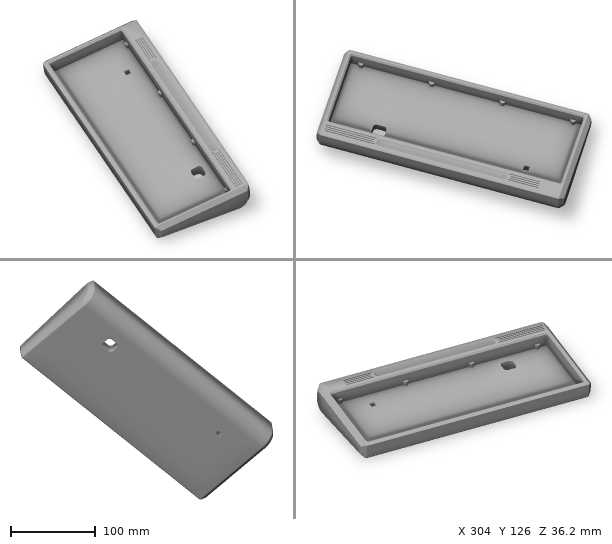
import cadquery as cq
import math

LENGTH = 304.0
DEPTH = 126.0
HEIGHT = 36.2
TILT = 7.0
BACK_RADIUS = 18.0
END_CHAMFER = 5.2
BOTTOM_FILLET = 2.0

FRONT_BEVEL_WIDTH = 3.3
FRONT_BEVEL_DROP = 1.5
BACK_BEVEL_WIDTH = 1.5
BACK_BEVEL_DROP = 1.0

POCKET_LENGTH = 286.0
POCKET_FRONT = 6.7
POCKET_BACK = 102.8
POCKET_DEPTH = 19.0
POCKET_CORNER_RADIUS = 1.8
RIM_CHAMFER = 1.8

POST_RADIUS = 3.3
POST_HEIGHT = 6.0
POST_PITCH = 87.0
POST_COUNT = 4
FRONT_POST_Y = POCKET_FRONT
BACK_POST_Y = POCKET_BACK + 0.5

SQUARE_HOLE_SIZE = 6.5
SQUARE_HOLE_CENTER = (-95.8, 86.0)
PORT_LENGTH = 16.5
PORT_WIDTH = 14.5
PORT_CORNER_RADIUS = 4.3
PORT_CENTER = (84.8, 88.5)

TRIM_Y = 113.7
TROUGH_LENGTH = 161.0
TROUGH_WIDTH = 9.5
TROUGH_RADIUS = 13.0 / 2
GROOVE_PITCH = 2.7
GROOVE_WIDTH = 1.2
GROOVE_DEPTH = 1.2
OUTER_GROOVE_START = 81.5
INNER_GROOVE_START = 84.2
RIGHT_GROOVE_END = 143.5
LEFT_GROOVE_END = 119.2

SIN = math.sin(math.radians(TILT))
COS = math.cos(math.radians(TILT))
SLOPE = SIN / COS

ARC_Y = DEPTH - BACK_RADIUS
ARC_TOP = (ARC_Y + BACK_RADIUS * COS, BACK_RADIUS * (1 + SIN))
ARC_MIDDLE_ANGLE = math.radians((TILT - 90) / 2)
ARC_MIDDLE = (
    ARC_Y + BACK_RADIUS * math.cos(ARC_MIDDLE_ANGLE),
    BACK_RADIUS * (1 + math.sin(ARC_MIDDLE_ANGLE)),
)
BACK_TOP_Z = HEIGHT + BACK_BEVEL_WIDTH * SIN
BACK_TOP_Y = ARC_TOP[0] - (BACK_TOP_Z - ARC_TOP[1]) * SLOPE
FRONT_TOP_Y = -FRONT_BEVEL_DROP * SIN
FRONT_TOP_Z = BACK_TOP_Z - (BACK_TOP_Y - FRONT_TOP_Y) * SLOPE
DECK_DEPTH = (BACK_TOP_Y - FRONT_TOP_Y) / COS

DECK = cq.Plane(origin=(0, FRONT_TOP_Y, FRONT_TOP_Z), xDir=(1, 0, 0), normal=(0, -SIN, COS))


def body():
    outline = (
        cq.Workplane("YZ", origin=(-LENGTH / 2, 0, 0))
        .moveTo(FRONT_TOP_Y, FRONT_TOP_Z)
        .lineTo(BACK_TOP_Y, BACK_TOP_Z)
        .lineTo(*ARC_TOP)
        .threePointArc(ARC_MIDDLE, (ARC_Y, 0))
        .lineTo(FRONT_TOP_Y + FRONT_TOP_Z * SLOPE, 0)
        .close()
    )
    chamfered = outline.extrude(LENGTH).faces("<X or >X").chamfer(END_CHAMFER)
    return chamfered.faces("<Z").edges().fillet(BOTTOM_FILLET)


def edge_bevel(edge_y, width, drop):
    """Wedge along a top edge; a negative width reaches toward the front."""
    profile = cq.Plane(origin=DECK.origin, xDir=DECK.yDir, normal=DECK.xDir)
    wedge = cq.Workplane(profile).polyline([(edge_y, 0), (edge_y + width, 0), (edge_y, -drop)]).close()
    return wedge.extrude(LENGTH / 2, both=True)


def pocket():
    middle_y = (POCKET_FRONT + POCKET_BACK) / 2
    span = POCKET_BACK - POCKET_FRONT
    well = (
        cq.Workplane(DECK)
        .center(0, middle_y)
        .sketch()
        .rect(POCKET_LENGTH, span)
        .vertices()
        .fillet(POCKET_CORNER_RADIUS)
        .finalize()
    )
    rim = (
        cq.Workplane(DECK)
        .center(0, middle_y)
        .sketch()
        .rect(POCKET_LENGTH + 2 * RIM_CHAMFER, span + 2 * RIM_CHAMFER)
        .vertices()
        .fillet(POCKET_CORNER_RADIUS + RIM_CHAMFER)
        .finalize()
    )
    return well.extrude(-POCKET_DEPTH).union(rim.extrude(-RIM_CHAMFER, taper=45))


def posts():
    floor = cq.Workplane(DECK).workplane(offset=-POCKET_DEPTH)
    first_x = -POST_PITCH * (POST_COUNT - 1) / 2
    places = [
        (first_x + i * POST_PITCH, y)
        for i in range(POST_COUNT)
        for y in (FRONT_POST_Y, BACK_POST_Y)
    ]
    return floor.pushPoints(places).circle(POST_RADIUS).extrude(POST_HEIGHT)


def floor_openings():
    square = (
        cq.Workplane("XY")
        .center(*SQUARE_HOLE_CENTER)
        .rect(SQUARE_HOLE_SIZE, SQUARE_HOLE_SIZE)
        .extrude(HEIGHT)
    )
    port = (
        cq.Workplane("XY")
        .center(*PORT_CENTER)
        .rect(PORT_LENGTH, PORT_WIDTH)
        .extrude(HEIGHT)
        .edges("|Z")
        .fillet(PORT_CORNER_RADIUS)
    )
    return square.union(port)


def trough():
    """Round bar with ball ends whose axis lies above the deck."""
    axis_height = math.sqrt(TROUGH_RADIUS**2 - (TROUGH_WIDTH / 2) ** 2)
    half_straight = (TROUGH_LENGTH - TROUGH_WIDTH) / 2
    middle = DECK.toWorldCoords((0, TRIM_Y, axis_height))
    bar = cq.Workplane("YZ", origin=middle).circle(TROUGH_RADIUS).extrude(half_straight, both=True)
    for x in (-half_straight, half_straight):
        ball_center = DECK.toWorldCoords((x, TRIM_Y, axis_height))
        bar = bar.union(cq.Workplane("XY", origin=ball_center).sphere(TROUGH_RADIUS))
    return bar


def groove(start_x, end_x, y):
    center = ((start_x + end_x) / 2, y)
    outline = cq.Workplane(DECK).center(*center).rect(abs(end_x - start_x), GROOVE_WIDTH)
    return outline.extrude(-GROOVE_DEPTH)


result = body()
result = result.cut(edge_bevel(0, FRONT_BEVEL_WIDTH, FRONT_BEVEL_DROP))
result = result.cut(edge_bevel(DECK_DEPTH, -BACK_BEVEL_WIDTH, BACK_BEVEL_DROP))
result = result.cut(pocket())
result = result.union(posts())
result = result.cut(floor_openings())
result = result.cut(trough())

groove_starts = (OUTER_GROOVE_START, INNER_GROOVE_START, INNER_GROOVE_START, OUTER_GROOVE_START)
for row, start in enumerate(groove_starts):
    groove_y = TRIM_Y + (row - (len(groove_starts) - 1) / 2) * GROOVE_PITCH
    result = result.cut(groove(start, RIGHT_GROOVE_END, groove_y))
    result = result.cut(groove(-start, -LEFT_GROOVE_END, groove_y))